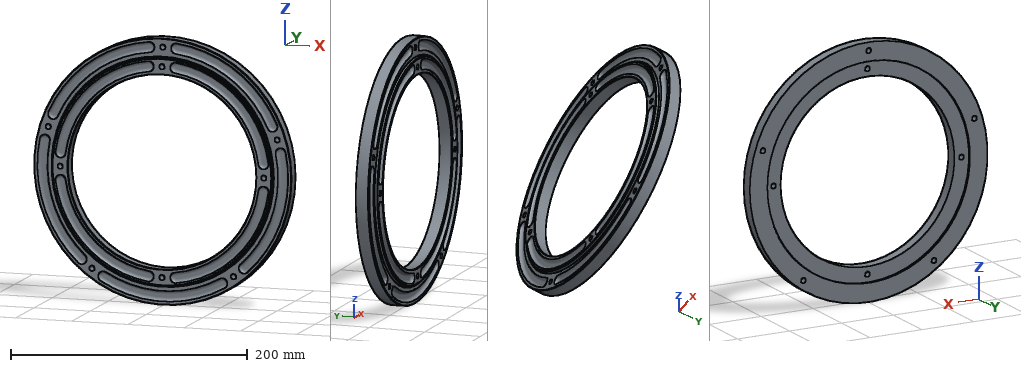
import cadquery as cq
import math

outer_radius = 114.5
bore_radius = 83.5
total_depth = 13.5
chamfer = 0.5

inner_ring_shift = 2.0
inner_ring_radius = 97.5

groove_width = 1.0
groove_depth = 2.3

hole_diameter = 4.5
first_hole_angle = 90.0
slot_width = 9.0
slot_depth = 3.2
slot_floor_fillet = 3.0
cutter_headroom = 2.3
hole_to_slot_end = 12.0

outer_hole_count = 5
outer_hole_radius = 107.0
outer_slot_radius = outer_hole_radius

inner_hole_count = 4
inner_hole_radius = 90.5
inner_slot_radius = 91.0

inner_face_y = -total_depth / 2
outer_face_y = inner_face_y + inner_ring_shift
outer_back_y = total_depth / 2
inner_back_y = outer_back_y - inner_ring_shift
groove_floor_y = outer_face_y + groove_depth
groove_radius = inner_ring_radius + groove_width


def polar(radius, angle):
    """Point in the ring plane, with the angle in degrees."""
    return radius * math.cos(math.radians(angle)), radius * math.sin(math.radians(angle))


def plane_at(y):
    """Plane across the ring axis whose normal points out of the slotted face."""
    return cq.Workplane("XZ", origin=(0, y, 0))


def ring_body():
    """Revolve the joined cross-section of both rings, given as (radius, y) points."""
    section = [
        (bore_radius, inner_back_y),
        (bore_radius, inner_face_y + chamfer),
        (bore_radius + chamfer, inner_face_y),
        (inner_ring_radius - chamfer, inner_face_y),
        (inner_ring_radius, inner_face_y + chamfer),
        (inner_ring_radius, groove_floor_y),
        (groove_radius, groove_floor_y),
        (groove_radius, outer_face_y + chamfer),
        (groove_radius + chamfer, outer_face_y),
        (outer_radius - chamfer, outer_face_y),
        (outer_radius, outer_face_y + chamfer),
        (outer_radius, outer_back_y),
        (inner_ring_radius, outer_back_y),
        (inner_ring_radius, inner_back_y),
    ]
    return cq.Workplane("XY").polyline(section).close().revolve(360, (0, 0, 0), (0, 1, 0))


def through_hole(circle_radius, angle):
    """Bolt hole cutter, as long as the whole part is deep."""
    return (
        plane_at(outer_back_y)
        .center(*polar(circle_radius, angle))
        .circle(hole_diameter / 2)
        .extrude(total_depth)
    )


def curved_slot(circle_radius, start_angle, end_angle, face_y):
    """Arc-shaped slot cutter with round ends and a filleted floor."""
    inner = circle_radius - slot_width / 2
    outer = circle_radius + slot_width / 2
    middle_angle = (start_angle + end_angle) / 2
    end_cap_angle = math.degrees(slot_width / 2 / circle_radius)
    return (
        plane_at(face_y + slot_depth)
        .moveTo(*polar(outer, start_angle))
        .threePointArc(polar(outer, middle_angle), polar(outer, end_angle))
        .threePointArc(polar(circle_radius, end_angle + end_cap_angle), polar(inner, end_angle))
        .threePointArc(polar(inner, middle_angle), polar(inner, start_angle))
        .threePointArc(polar(circle_radius, start_angle - end_cap_angle), polar(outer, start_angle))
        .close()
        .extrude(slot_depth + cutter_headroom)
        .faces(">Y")
        .edges()
        .fillet(slot_floor_fillet)
    )


def cut_holes_and_slots(body, hole_count, hole_radius, slot_radius, face_y):
    """Cut evenly spaced through holes and one slot between each pair of holes."""
    pitch_angle = 360 / hole_count
    clearance_angle = math.degrees(hole_to_slot_end / slot_radius)
    for index in range(hole_count):
        hole_angle = first_hole_angle + index * pitch_angle
        slot_start = hole_angle + clearance_angle
        slot_end = hole_angle + pitch_angle - clearance_angle
        body = body.cut(through_hole(hole_radius, hole_angle))
        body = body.cut(curved_slot(slot_radius, slot_start, slot_end, face_y))
    return body


result = ring_body()
result = cut_holes_and_slots(
    result, outer_hole_count, outer_hole_radius, outer_slot_radius, outer_face_y
)
result = cut_holes_and_slots(
    result, inner_hole_count, inner_hole_radius, inner_slot_radius, inner_face_y
)